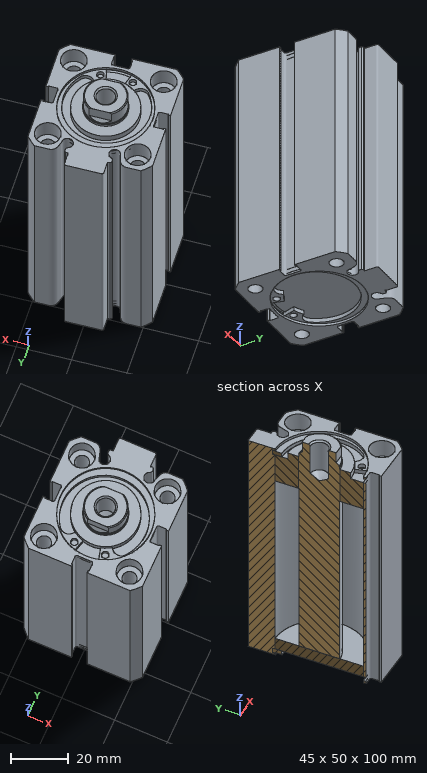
import cadquery as cq
import math


side = 45.0
half_side = side / 2
housing_height = 93.0
corner_radius = 29.6
bore_radius = 17.0

hole_offset = 16.2
hole_diameter = 5.2
counterbore_diameter = 9.2
counterbore_depth = 7.0

slot_floor = 18.1
slot_width = 6.6
slot_mouth = 5.9
slot_lip = 0.9
slot_floor_fillet = 0.6

rail_top = 27.5
rail_half_width = 7.1
rail_fillet = 0.7
lip_top = 22.2
lip_half_width = 8.5
lip_chamfer = 0.5
lip_round = 1.2
groove_x = 8.5
groove_y = 18.2
groove_radius = 2.0
shoulder_x = 11.9
shoulder_fillet = 2.8

ring_inset = 1.0
ring_thickness = 1.6
ring_radius = 17.9
ring_opening_radius = 15.6
ring_opening_shift = 1.2
lug_inner_radius = 12.4
lug_start_angle = 15.5
lug_end_angle = 35.0
lug_fillet = 3.0
lug_hole_diameter = 2.6
lug_hole_radius = 14.8
lug_hole_angle = 23.3

flange_thickness = 12.0
boss_radius = 12.2
end_cap_thickness = 5.0

rod_top = 100.0
rod_radius = 8.0
rod_step = 0.25
rod_neck_radius = rod_radius - rod_step
rod_step_z = 94.0
rod_chamfer = 0.4
flat_half_width = 6.6
flat_bottom_z = 95.6
thread_radius = 3.4
thread_chamfer = 0.6
thread_depth = 13.0
drill_tip_angle = 118.0

ring_depth = ring_inset + ring_thickness
end_cap_top = ring_depth + end_cap_thickness


def disc(radius, bottom, top):
    return cq.Workplane("XY").workplane(offset=bottom).circle(radius).extrude(top - bottom)


def polar_from_minus_y(radius, angle):
    """Point at an angle measured from -Y towards +X."""
    turn = math.radians(angle)
    return (radius * math.sin(turn), -radius * math.cos(turn))


def wedge(start_angle, end_angle, height):
    """Sector of a plate around the axis that reaches beyond the ring."""
    reach = 2 * ring_radius
    corners = [(0, 0), polar_from_minus_y(reach, start_angle), polar_from_minus_y(reach, end_angle)]
    return cq.Workplane("XY").polyline(corners).close().extrude(height)


def housing_block():
    square = cq.Workplane("XY").rect(side, side).extrude(housing_height)
    return square.intersect(disc(corner_radius, 0, housing_height))


def groove_region():
    """Space between the rail and the +X shoulder, open towards +Y."""
    round_x = lip_half_width - lip_round
    touch_turn = math.acos((groove_x - round_x) / (groove_radius + lip_round))
    round_y = groove_y + (groove_radius + lip_round) * math.sin(touch_turn)

    def on_lip_round(turn):
        return (round_x + lip_round * math.cos(turn), round_y - lip_round * math.sin(turn))

    return (
        cq.Workplane("XY")
        .moveTo(rail_half_width, rail_top)
        .lineTo(rail_half_width, lip_top)
        .lineTo(lip_half_width - lip_chamfer, lip_top)
        .lineTo(lip_half_width, lip_top - lip_chamfer)
        .lineTo(lip_half_width, round_y)
        .threePointArc(on_lip_round(touch_turn / 2), on_lip_round(touch_turn))
        .threePointArc((groove_x, groove_y - groove_radius), (groove_x + groove_radius, groove_y))
        .lineTo(shoulder_x, half_side)
        .lineTo(shoulder_x, rail_top)
        .close()
        .extrude(housing_height)
    )


def add_rail(block):
    rail_height = rail_top - groove_y
    rail = (
        cq.Workplane("XY")
        .center(0, groove_y + rail_height / 2)
        .rect(2 * rail_half_width, rail_height)
        .extrude(housing_height)
        .edges("|Z and >Y")
        .fillet(rail_fillet)
    )
    groove = groove_region()
    block = block.union(rail).cut(groove).cut(groove.mirror("YZ"))
    for x in (-shoulder_x, shoulder_x):
        corner = cq.selectors.NearestToPointSelector((x, half_side, housing_height / 2))
        block = block.edges("|Z").edges(corner).fillet(shoulder_fillet)
    return block


def sensor_slot():
    """Slot on the +X side; its mouth is narrower than its inside."""
    inside_depth = half_side - slot_lip - slot_floor
    inside = (
        cq.Workplane("XY")
        .center(slot_floor + inside_depth / 2, 0)
        .rect(inside_depth, slot_width)
        .extrude(housing_height)
        .edges("|Z and <X")
        .fillet(slot_floor_fillet)
    )
    mouth = (
        cq.Workplane("XY")
        .center(half_side - slot_lip / 2, 0)
        .rect(slot_lip, slot_mouth)
        .extrude(housing_height)
    )
    return inside.union(mouth)


def make_housing():
    body = add_rail(housing_block())
    for angle in (0, 180, 270):
        body = body.cut(sensor_slot().rotate((0, 0, 0), (0, 0, 1), angle))
    body = (
        body.faces(">Z")
        .workplane(origin=(0, 0, housing_height))
        .rect(2 * hole_offset, 2 * hole_offset, forConstruction=True)
        .vertices()
        .cboreHole(hole_diameter, counterbore_diameter, counterbore_depth)
    )
    body = body.cut(disc(bore_radius, 0, housing_height))
    for ring_bottom in (ring_inset, housing_height - ring_depth):
        body = body.cut(disc(ring_radius, ring_bottom, ring_bottom + ring_thickness))
    return body


def make_retaining_ring(bottom):
    """Open ring with two plier lugs that point inwards on the -Y side."""
    opening = disc(ring_opening_radius, 0, ring_thickness).translate((0, -ring_opening_shift, 0))
    opening = opening.cut(wedge(-lug_end_angle, lug_end_angle, ring_thickness))
    ring = disc(ring_radius, 0, ring_thickness).cut(opening)
    ring = ring.cut(disc(lug_inner_radius, 0, ring_thickness))
    ring = ring.cut(wedge(-lug_start_angle, lug_start_angle, ring_thickness))

    turn = math.radians(lug_end_angle)
    along = ring_opening_shift * math.cos(turn)
    across = ring_opening_shift * math.sin(turn)
    lug_root_radius = along + math.sqrt(ring_opening_radius**2 - across**2)
    for side_sign in (-1, 1):
        root_x, root_y = polar_from_minus_y(lug_root_radius, side_sign * lug_end_angle)
        root = cq.selectors.NearestToPointSelector((root_x, root_y, ring_thickness / 2))
        ring = ring.edges("|Z").edges(root).fillet(lug_fillet)
        hole_x, hole_y = polar_from_minus_y(lug_hole_radius, side_sign * lug_hole_angle)
        ring = ring.cut(disc(lug_hole_diameter / 2, 0, ring_thickness).translate((hole_x, hole_y, 0)))
    return ring.translate((0, 0, bottom))


def make_rod_cover():
    """Flanged guide under the upper ring; its boss is flush with the housing."""
    flange_top = housing_height - ring_depth
    cover = disc(bore_radius, flange_top - flange_thickness, flange_top)
    cover = cover.union(disc(boss_radius, flange_top, housing_height))
    return cover.cut(disc(rod_radius, flange_top - flange_thickness, housing_height))


def make_end_cap():
    return disc(bore_radius, ring_depth, end_cap_top)


def wrench_flat():
    """Removed beyond the +Y flat; its lower end slopes outwards at 45 degrees."""
    run_out = rod_radius - flat_half_width
    outline = [
        (flat_half_width, rod_top),
        (flat_half_width, flat_bottom_z),
        (flat_half_width + run_out, flat_bottom_z - run_out),
        (flat_half_width + run_out, rod_top),
    ]
    return cq.Workplane("YZ").polyline(outline).close().extrude(rod_radius, both=True)


def threaded_hole():
    """Blind hole with a conical mouth and a drill point."""
    tip_length = thread_radius / math.tan(math.radians(drill_tip_angle / 2))
    outline = [
        (0, rod_top),
        (thread_radius + thread_chamfer, rod_top),
        (thread_radius, rod_top - thread_chamfer),
        (thread_radius, rod_top - thread_depth),
        (0, rod_top - thread_depth - tip_length),
    ]
    return cq.Workplane("XZ").polyline(outline).close().revolve(360, (0, 0, 0), (0, 1, 0))


def make_rod():
    """Rod that stands on the end cap and passes through the rod cover."""
    outline = [
        (0, end_cap_top),
        (rod_radius, end_cap_top),
        (rod_radius, rod_step_z),
        (rod_neck_radius, rod_step_z + rod_step),
        (rod_neck_radius, rod_top - rod_chamfer),
        (rod_neck_radius - rod_chamfer, rod_top),
        (0, rod_top),
    ]
    rod = cq.Workplane("XZ").polyline(outline).close().revolve(360, (0, 0, 0), (0, 1, 0))
    flat = wrench_flat()
    return rod.cut(flat).cut(flat.mirror("XZ")).cut(threaded_hole())


housing = make_housing()
rod_cover = make_rod_cover()
end_cap = make_end_cap()
rod = make_rod()
retaining_rings = [
    make_retaining_ring(bottom) for bottom in (ring_inset, housing_height - ring_depth)
]

result = cq.Compound.makeCompound(
    [housing.val(), rod_cover.val(), end_cap.val(), rod.val(), *[ring.val() for ring in retaining_rings]]
)